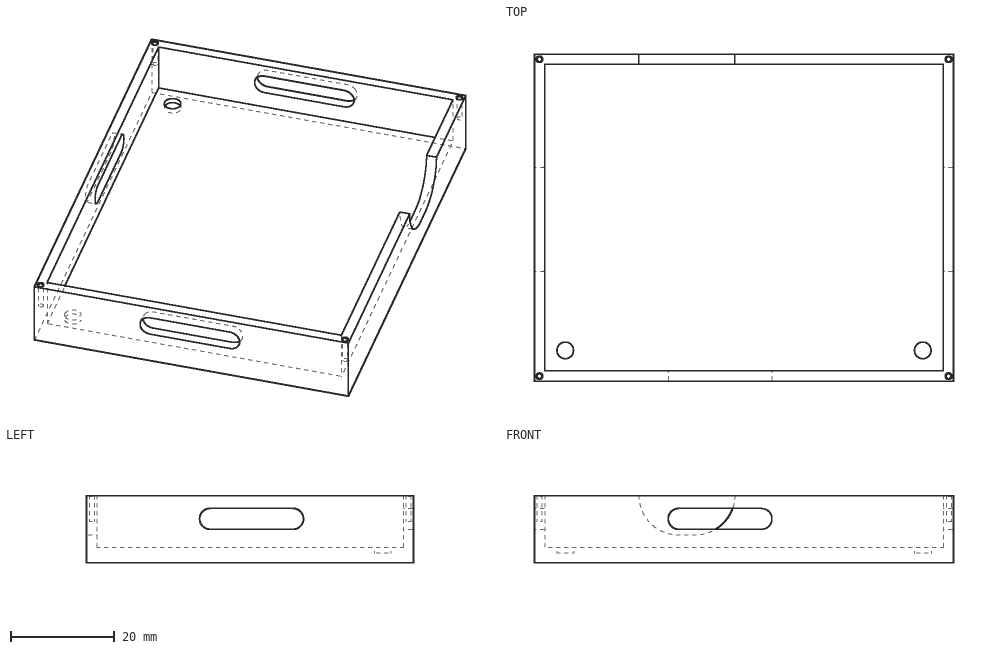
import cadquery as cq

length = 80.95
width = 63.16
height = 13.0
wall = 2.0
floor_thickness = 3.0

slot_length = 20.0
slot_height = 4.0
slot_center_z = 8.5
side_slot_offset_y = -0.3
front_slot_offset_x = -4.6

notch_radius = 7.55
notch_flat = 3.4
notch_center_x = -11.05
notch_center_z = height

pilot_diameter = 0.97
countersink_diameter = 1.25
countersink_depth = (countersink_diameter - pilot_diameter) / 2
pilot_depth = 5.0
pilot_inset = wall / 2

floor_hole_diameter = 3.2
floor_hole_depth = 1.0
floor_hole_inset = 5.98


def make_tray():
    """Open box with its base on Z = 0, centred on the Z axis."""
    outer = cq.Workplane("XY").box(length, width, height, centered=(True, True, False))
    cavity = (
        cq.Workplane("XY")
        .workplane(offset=floor_thickness)
        .box(length - 2 * wall, width - 2 * wall, height, centered=(True, True, False))
    )
    return outer.cut(cavity)


def cut_side_slots(body):
    """One slot running through both end walls along X."""
    cutter = (
        cq.Workplane("YZ")
        .center(side_slot_offset_y, slot_center_z)
        .slot2D(slot_length, slot_height)
        .extrude(length, both=True)
    )
    return body.cut(cutter)


def cut_front_slot(body):
    """Slot through the front wall only."""
    cutter = (
        cq.Workplane("XZ", origin=(0, -width / 2 + wall, 0))
        .center(front_slot_offset_x, slot_center_z)
        .slot2D(slot_length, slot_height)
        .extrude(wall)
    )
    return body.cut(cutter)


def cut_back_notch(body):
    """Flat-bottomed notch with quarter-round sides, open at the rim of the back wall."""
    cutter = (
        cq.Workplane("XZ", origin=(0, width / 2, 0))
        .center(notch_center_x, notch_center_z)
        .slot2D(notch_flat + 2 * notch_radius, 2 * notch_radius)
        .extrude(wall)
    )
    return body.cut(cutter)


def cut_pilot_holes(body):
    """Blind pilot hole with a small countersink at each of the four rim corners."""
    down = cq.Vector(0, 0, -1)
    rim_point = cq.Vector(0, 0, height)
    pilot = cq.Solid.makeCylinder(pilot_diameter / 2, pilot_depth, rim_point, down)
    countersink = cq.Solid.makeCone(
        countersink_diameter / 2, pilot_diameter / 2, countersink_depth, rim_point, down
    )
    hole = pilot.fuse(countersink)
    corner_x = length / 2 - pilot_inset
    corner_y = width / 2 - pilot_inset
    for side_x in (-1, 1):
        for side_y in (-1, 1):
            body = body.cut(hole.translate(cq.Vector(side_x * corner_x, side_y * corner_y, 0)))
    return body


def cut_floor_holes(body):
    """Pair of blind holes in the floor near the front corners."""
    hole_x = length / 2 - floor_hole_inset
    hole_y = -width / 2 + floor_hole_inset
    cutter = (
        cq.Workplane("XY")
        .workplane(offset=floor_thickness - floor_hole_depth)
        .pushPoints([(-hole_x, hole_y), (hole_x, hole_y)])
        .circle(floor_hole_diameter / 2)
        .extrude(floor_hole_depth)
    )
    return body.cut(cutter)


tray = make_tray()
tray = cut_side_slots(tray)
tray = cut_front_slot(tray)
tray = cut_back_notch(tray)
tray = cut_pilot_holes(tray)
result = cut_floor_holes(tray)